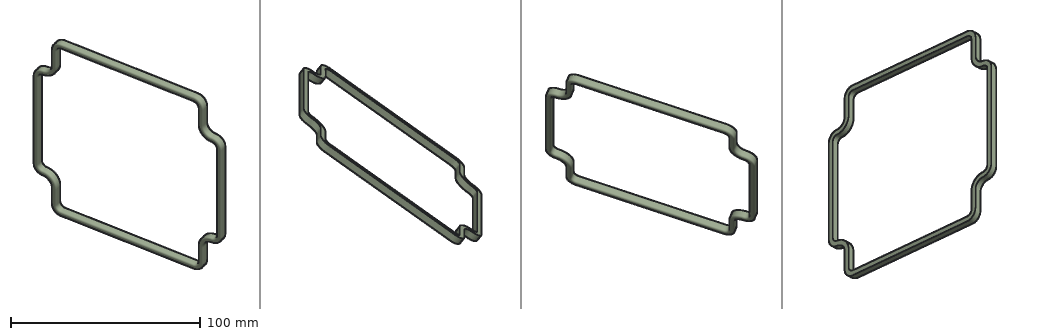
import cadquery as cq
import math

width = 118.0
height = 116.0
depth = 4.5

band_width = 3.1
front_fillet = 1.0

corner_radius = 6.0
notch_radius = 5.4
neck_length = 11.1

end_half_width = width / 2 - corner_radius - notch_radius
top = height / 2
neck_top = top - corner_radius
neck_bottom = neck_top - neck_length
step_height = neck_bottom - notch_radius
side_top = step_height - corner_radius
side_x = width / 2
bend_x = side_x - corner_radius
end_straight_x = end_half_width - corner_radius


def quarter_turn(sketch, center, radius, start_angle, end_angle):
    """Add a quarter arc about center, ending at end_angle (degrees)."""
    def point(angle):
        turn = math.radians(angle)
        return (center[0] + radius * math.cos(turn), center[1] + radius * math.sin(turn))

    return sketch.threePointArc(point((start_angle + end_angle) / 2), point(end_angle))


def ring_outline():
    """Closed outer outline, drawn clockwise and centred on the origin."""
    outline = cq.Workplane("XZ", origin=(0, depth / 2, 0)).moveTo(-end_straight_x, top)

    outline = outline.lineTo(end_straight_x, top)
    outline = quarter_turn(outline, (end_straight_x, neck_top), corner_radius, 90, 0)
    outline = outline.lineTo(end_half_width, neck_bottom)
    outline = quarter_turn(outline, (bend_x, neck_bottom), notch_radius, 180, 270)
    outline = quarter_turn(outline, (bend_x, side_top), corner_radius, 90, 0)

    outline = outline.lineTo(side_x, -side_top)
    outline = quarter_turn(outline, (bend_x, -side_top), corner_radius, 0, -90)
    outline = quarter_turn(outline, (bend_x, -neck_bottom), notch_radius, 90, 180)
    outline = outline.lineTo(end_half_width, -neck_top)
    outline = quarter_turn(outline, (end_straight_x, -neck_top), corner_radius, 0, -90)

    outline = outline.lineTo(-end_straight_x, -top)
    outline = quarter_turn(outline, (-end_straight_x, -neck_top), corner_radius, 270, 180)
    outline = outline.lineTo(-end_half_width, -neck_bottom)
    outline = quarter_turn(outline, (-bend_x, -neck_bottom), notch_radius, 0, 90)
    outline = quarter_turn(outline, (-bend_x, -side_top), corner_radius, 270, 180)

    outline = outline.lineTo(-side_x, side_top)
    outline = quarter_turn(outline, (-bend_x, side_top), corner_radius, 180, 90)
    outline = quarter_turn(outline, (-bend_x, neck_bottom), notch_radius, 270, 360)
    outline = outline.lineTo(-end_half_width, neck_top)
    outline = quarter_turn(outline, (-end_straight_x, neck_top), corner_radius, 180, 90)
    return outline.close()


outer_body = ring_outline().extrude(depth)
opening = ring_outline().offset2D(-band_width).extrude(depth)
ring = outer_body.cut(opening)

result = ring.faces("<Y").edges().fillet(front_fillet)